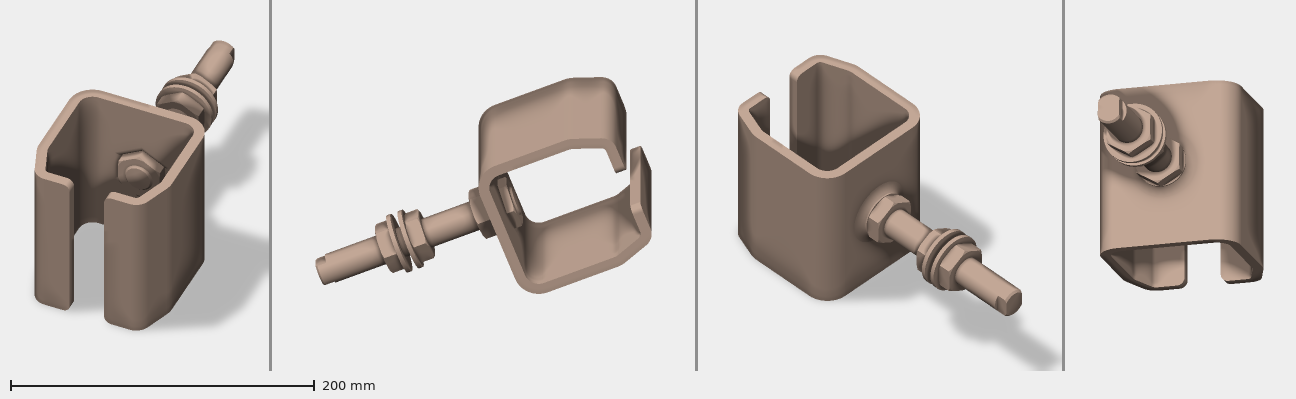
import cadquery as cq
import math


overall_length = 222.2

bracket_width = 96.0
bracket_depth = 96.0
bracket_height = 110.0
wall = 7.1
back_bend_radius = 16.7
side_bend_radius = 16.7
lip_bend_radius = 10.5
side_bend_y = -69.1
lean_angle = 20.0
slot_width = 25.0
lip_corner_radius = 5.1

boss_diameter = 33.1
boss_base_diameter = 45.8
boss_height = 5.0
boss_rim_height = 1.1
boss_flare_sag = 0.78
seat_floor_y = -2.11
seat_edge_radius = 4.5

stud_diameter = 20.0
stud_chamfer = 1.3
stud_back_y = overall_length - bracket_depth
stud_tip_height = 0.7
flat_spacing = 14.5
flat_length = 7.8

nut_flats = 30.0
nut_face_diameter = 31.3
nut_thickness = 10.0
nut_chamfer_angle = 30.0
washer_diameter = 40.2
washer_bore = 21.0
washer_thickness = 3.0
washer_gap = 5.1
clamp_start_y = 50.2

nut_corners = nut_flats / math.cos(math.radians(30))

inner_nut_y = seat_floor_y - nut_thickness
first_washer_y = clamp_start_y + nut_thickness
second_washer_y = first_washer_y + washer_thickness + washer_gap
last_nut_y = second_washer_y + washer_thickness
nut_positions = [inner_nut_y, boss_height, clamp_start_y, last_nut_y]
washer_positions = [first_washer_y, second_washer_y]


def plane_at(y):
    """Plane across the stud axis with its normal toward +Y and its local Y along +Z."""
    return cq.Workplane(cq.Plane(origin=(0, y, 0), xDir=(-1, 0, 0), normal=(0, 1, 0)))


def hexagon(y, length):
    """Hexagonal prism along +Y with two corners pointing to +Z and -Z."""
    return plane_at(y).transformed(rotate=(0, 0, 90)).polygon(6, nut_corners).extrude(length)


def make_channel():
    half_width = bracket_width / 2
    lean = (bracket_depth + side_bend_y) * math.tan(math.radians(lean_angle))
    corners = [
        (half_width, 0),
        (half_width, side_bend_y),
        (half_width - lean, -bracket_depth),
        (lean - half_width, -bracket_depth),
        (-half_width, side_bend_y),
        (-half_width, 0),
    ]
    bottom = cq.Workplane("XY").workplane(offset=-bracket_height / 2)
    block = bottom.polyline(corners).close().extrude(bracket_height)
    block = block.edges("|Z and >Y").fillet(back_bend_radius)
    block = block.edges("|Z and <Y").fillet(lip_bend_radius)
    side_bends = cq.selectors.BoxSelector(
        (-bracket_width, side_bend_y - wall, -bracket_height),
        (bracket_width, side_bend_y + wall, bracket_height),
    )
    block = block.edges("|Z").edges(side_bends).fillet(side_bend_radius)
    cavity = block.faces("<Z").wires().toPending().offset2D(-wall).extrude(bracket_height, combine=False)
    channel = block.cut(cavity)

    slot = bottom.center(0, -bracket_depth).rect(slot_width, 4 * wall).extrude(bracket_height)
    channel = channel.cut(slot)
    lip_corners = cq.selectors.BoxSelector(
        (-slot_width, -bracket_depth - wall, -bracket_height),
        (slot_width, -bracket_depth + 2 * wall, bracket_height),
    )
    return channel.edges("|Y").edges(lip_corners).fillet(lip_corner_radius)


def make_boss():
    """Round flared boss, revolved about the stud axis and rooted halfway into the back wall."""
    top_radius = boss_diameter / 2
    base_radius = boss_base_diameter / 2
    flare_top = boss_height - boss_rim_height
    flare_length = math.hypot(base_radius - top_radius, flare_top)
    middle = (
        (base_radius + top_radius) / 2 - boss_flare_sag * flare_top / flare_length,
        flare_top / 2 - boss_flare_sag * (base_radius - top_radius) / flare_length,
    )
    profile = (
        cq.Workplane("XY")
        .moveTo(0, -wall / 2)
        .lineTo(base_radius, -wall / 2)
        .lineTo(base_radius, 0)
        .threePointArc(middle, (top_radius, flare_top))
        .lineTo(top_radius, boss_height)
        .lineTo(0, boss_height)
        .close()
    )
    return profile.revolve(360, (0, 0, 0), (0, 1, 0))


def make_bracket():
    bracket = make_channel().union(make_boss())
    seat_depth = wall + seat_floor_y
    bracket = bracket.cut(hexagon(-wall, seat_depth))
    seat_mouth = cq.selectors.BoxSelector(
        (-nut_corners, -wall - seat_depth / 2, -nut_corners),
        (nut_corners, -wall + seat_depth / 2, nut_corners),
    )
    bracket = bracket.edges(seat_mouth).fillet(seat_edge_radius)
    stud_hole = plane_at(-wall).circle(stud_diameter / 2).extrude(wall + boss_height)
    return bracket.cut(stud_hole)


def make_stud():
    radius = stud_diameter / 2
    end_radius = radius - stud_chamfer
    profile = [
        (0, inner_nut_y - stud_chamfer - stud_tip_height),
        (end_radius, inner_nut_y - stud_chamfer),
        (radius, inner_nut_y),
        (radius, stud_back_y - stud_chamfer),
        (end_radius, stud_back_y),
        (0, stud_back_y),
    ]
    stud = cq.Workplane("XY").polyline(profile).close().revolve(360, (0, 0, 0), (0, 1, 0))

    end_block = plane_at(stud_back_y).rect(2 * stud_diameter, 2 * stud_diameter).extrude(-flat_length)
    tongue = plane_at(stud_back_y).rect(flat_spacing, 2 * stud_diameter).extrude(-flat_length)
    return stud.cut(end_block.cut(tongue))


def make_nut(y):
    """Hexagon nut with the corners of both faces chamfered by a cone."""
    face_radius = nut_face_diameter / 2
    corner_radius = nut_corners / 2
    chamfer = (corner_radius - face_radius) * math.tan(math.radians(nut_chamfer_angle))
    turned_profile = [
        (stud_diameter / 2, y),
        (face_radius, y),
        (corner_radius, y + chamfer),
        (corner_radius, y + nut_thickness - chamfer),
        (face_radius, y + nut_thickness),
        (stud_diameter / 2, y + nut_thickness),
    ]
    turned = cq.Workplane("XY").polyline(turned_profile).close().revolve(360, (0, 0, 0), (0, 1, 0))
    return hexagon(y, nut_thickness).intersect(turned)


def make_washer(y):
    return plane_at(y).circle(washer_diameter / 2).circle(washer_bore / 2).extrude(washer_thickness)


bracket = make_bracket()
stud = make_stud()
nuts = [make_nut(y) for y in nut_positions]
washers = [make_washer(y) for y in washer_positions]

result = cq.Compound.makeCompound(
    [bracket.val(), stud.val()]
    + [nut.val() for nut in nuts]
    + [washer.val() for washer in washers]
)